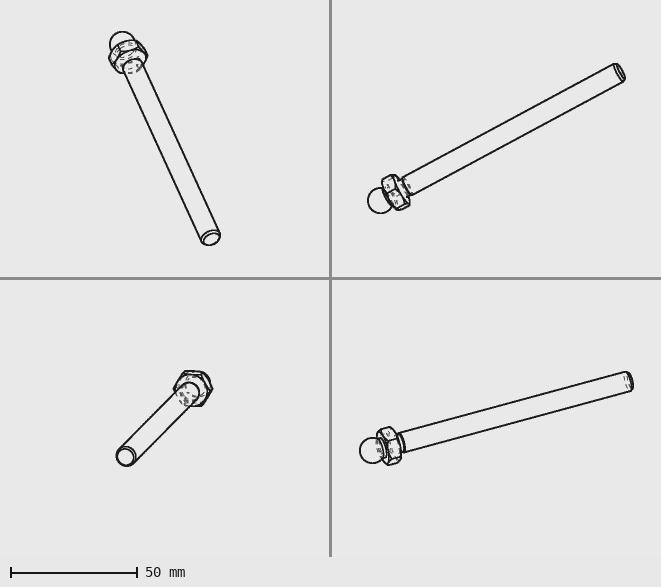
import cadquery as cq
import math

total_length = 114.5
collar_start = 9.4
collar_end = 14.7
rod_start = 17.3

ball_radius = 5.0
neck_radius = 4.0
relief_radius = 3.7
rod_radius = 4.0

across_corners = 15.0
across_flats = across_corners * math.cos(math.pi / 6)
collar_chamfer_length = 0.8
collar_face_radius = across_flats / 2

relief_fillet = 0.6
rod_shoulder_length = 0.3
tip_chamfer_length = 1.0
tip_chamfer_depth = 0.7


def turned_body():
    """Ball, neck, relief groove and rod revolved about the X axis."""
    ball_end = ball_radius + math.sqrt(ball_radius**2 - neck_radius**2)
    fillet_mid = relief_fillet * (1 - math.sqrt(0.5))
    return (
        cq.Workplane("XY")
        .moveTo(0, 0)
        .threePointArc((ball_radius, ball_radius), (ball_end, neck_radius))
        .lineTo(collar_start, neck_radius)
        .lineTo(collar_end, relief_radius + relief_fillet)
        .threePointArc(
            (collar_end + fillet_mid, relief_radius + fillet_mid),
            (collar_end + relief_fillet, relief_radius),
        )
        .lineTo(rod_start - rod_shoulder_length, relief_radius)
        .lineTo(rod_start, rod_radius)
        .lineTo(total_length - tip_chamfer_length, rod_radius)
        .lineTo(total_length, rod_radius - tip_chamfer_depth)
        .lineTo(total_length, 0)
        .close()
        .revolve(360, (0, 0, 0), (1, 0, 0))
    )


def hex_collar():
    """Hexagon with corners on the Y axis, its corners turned conically at both faces."""
    hexagon = (
        cq.Workplane("YZ", origin=(collar_start, 0, 0))
        .polygon(6, across_corners)
        .extrude(collar_end - collar_start)
    )
    corner_radius = across_corners / 2
    corner_envelope = (
        cq.Workplane("XY")
        .moveTo(collar_start, 0)
        .lineTo(collar_start, collar_face_radius)
        .lineTo(collar_start + collar_chamfer_length, corner_radius)
        .lineTo(collar_end - collar_chamfer_length, corner_radius)
        .lineTo(collar_end, collar_face_radius)
        .lineTo(collar_end, 0)
        .close()
        .revolve(360, (0, 0, 0), (1, 0, 0))
    )
    return hexagon.intersect(corner_envelope)


result = turned_body().union(hex_collar())